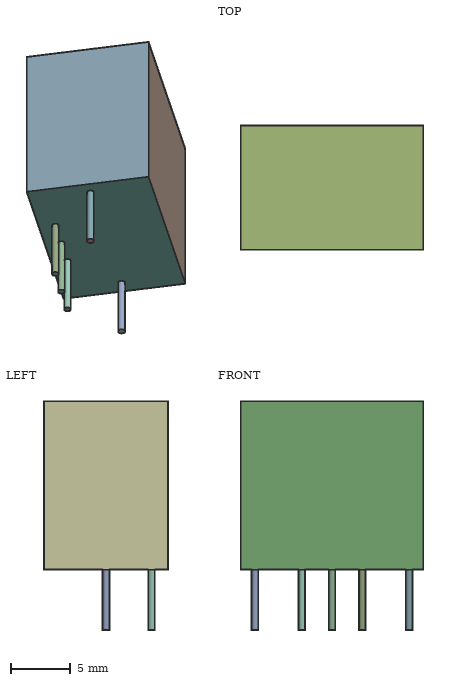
import cadquery as cq

housing_length = 15.4
housing_width = 10.5
total_height = 19.3
pin_length = 5.1
housing_height = total_height - pin_length

coil_pin_diameter = 0.6
coil_pin_offset = 6.5
contact_pin_diameter = 0.56
contact_pin_pitch = 2.55
contact_row_y = -3.85

coil_pin_positions = [(side * coil_pin_offset, 0) for side in (-1, 1)]
contact_pin_positions = [(step * contact_pin_pitch, contact_row_y) for step in (-1, 0, 1)]


def make_housing():
    """Plain rectangular block standing on Z = 0."""
    return cq.Workplane("XY").box(
        housing_length, housing_width, housing_height, centered=(True, True, False)
    )


def make_pin(position, diameter):
    """Round pin hanging from the underside of the housing."""
    return cq.Workplane("XY").center(*position).circle(diameter / 2).extrude(-pin_length)


housing = make_housing()
coil_pins = [make_pin(position, coil_pin_diameter) for position in coil_pin_positions]
contact_pins = [make_pin(position, contact_pin_diameter) for position in contact_pin_positions]

result = cq.Compound.makeCompound(
    [housing.val(), *[pin.val() for pin in coil_pins + contact_pins]]
)